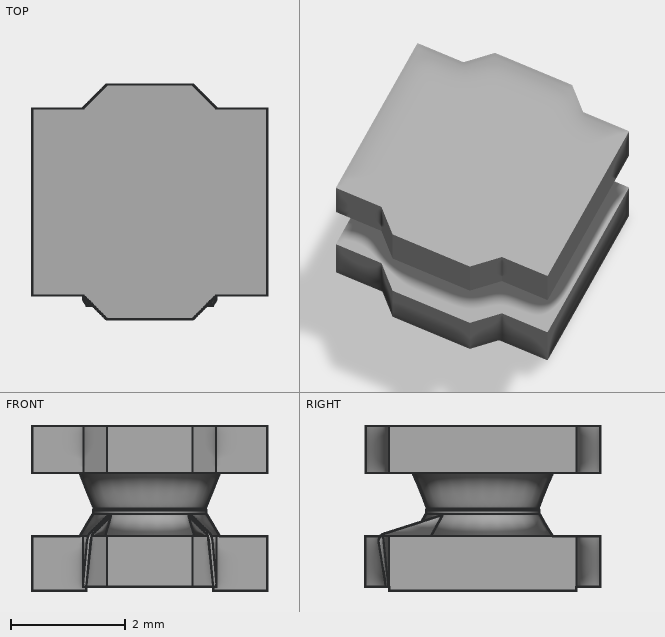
import cadquery as cq

width = 4.12
total_height = 2.89
lobe_depth = 0.42
body_depth = width - 2 * lobe_depth
lobe_tip_width = 1.505
lobe_base_width = lobe_tip_width + 2 * lobe_depth
front_setback = 0.01
pad_thickness = 0.07
lower_thickness = 0.89
upper_thickness = 0.825
lower_top = pad_thickness + lower_thickness
upper_bottom = total_height - upper_thickness

pad_width = 0.95

core_end_radius = 1.228
waist_radius = 0.995
neck_radius = 0.975
waist_bottom = 1.347
waist_top = 1.41
neck_height = 1.44

lead_thickness = 0.06
lead_offset = -0.675
lead_y_slope = 0.28
lead_z_slope = 0.136
lead_core_end = (-0.715, 1.325)
lead_bend_start = (-1.722, 1.005)
lead_bend_middle = (-1.795, 0.955)
lead_bend_end = (-1.825, 0.865)
lead_foot = (-1.697, pad_thickness)
lead_root_y = -0.495


def flange(bottom, thickness, setback=0.0):
    """Plate with a tapered lobe front and back; setback shortens the front lobe."""
    plate = cq.Workplane("XY").workplane(offset=bottom).rect(width, body_depth).extrude(thickness)
    for side, cut in ((-1, setback), (1, 0.0)):
        base_y = side * (body_depth / 2 - cut)
        tip_y = side * (width / 2 - cut)
        lobe = (
            cq.Workplane("XY")
            .workplane(offset=bottom)
            .polyline([
                (-lobe_base_width / 2, 0),
                (-lobe_base_width / 2, base_y),
                (-lobe_tip_width / 2, tip_y),
                (lobe_tip_width / 2, tip_y),
                (lobe_base_width / 2, base_y),
                (lobe_base_width / 2, 0),
            ])
            .close()
            .extrude(thickness)
        )
        plate = plate.union(lobe)
    return plate


def core():
    """Waisted core, revolved about Z."""
    return (
        cq.Workplane("XZ")
        .polyline([
            (0, lower_top),
            (core_end_radius, lower_top),
            (waist_radius, waist_bottom),
            (waist_radius, waist_top),
            (neck_radius, neck_height),
            (core_end_radius, upper_bottom),
            (0, upper_bottom),
        ])
        .close()
        .revolve(360, (0, 0, 0), (0, 1, 0))
    )


def lead_point(y, z):
    """Point on the -X face of the left lead."""
    x = lead_offset + lead_y_slope * y + lead_z_slope * z - lead_thickness / 2
    return cq.Vector(x, y, z)


def left_lead():
    """Fin running from the core over the flange edge and down to the pad."""
    core_end = lead_point(*lead_core_end)
    bend_start = lead_point(*lead_bend_start)
    bend_middle = lead_point(*lead_bend_middle)
    bend_end = lead_point(*lead_bend_end)
    foot = lead_point(*lead_foot)
    root_bottom = lead_point(lead_root_y, lead_foot[1])
    root_top = lead_point(lead_root_y, lead_core_end[1])
    outline = cq.Wire.assembleEdges([
        cq.Edge.makeLine(core_end, bend_start),
        cq.Edge.makeThreePointArc(bend_start, bend_middle, bend_end),
        cq.Edge.makeLine(bend_end, foot),
        cq.Edge.makeLine(foot, root_bottom),
        cq.Edge.makeLine(root_bottom, root_top),
        cq.Edge.makeLine(root_top, core_end),
    ])
    fin = cq.Solid.extrudeLinear(outline, [], cq.Vector(lead_thickness, 0, 0))
    return cq.Workplane(obj=fin)


def pads():
    """Flat terminals along the left and right edges of the underside."""
    pad_x = (width - pad_width) / 2
    return (
        cq.Workplane("XY")
        .pushPoints([(-pad_x, 0), (pad_x, 0)])
        .rect(pad_width, body_depth)
        .extrude(pad_thickness)
    )


lead = left_lead()
result = (
    flange(pad_thickness, lower_thickness)
    .union(core())
    .union(flange(upper_bottom, upper_thickness, front_setback))
    .union(lead)
    .union(lead.mirror("YZ"))
    .union(pads())
)